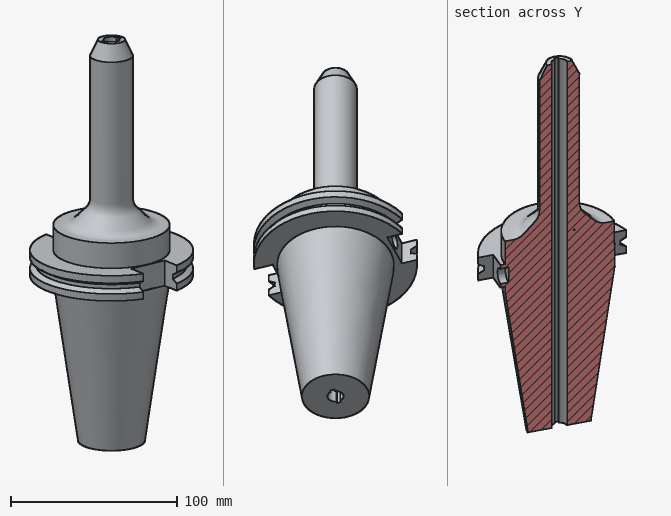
import cadquery as cq
import math

total_height = 254.0
gauge_height = 101.5
flange_bottom = 104.6
flange_top = 120.6
collar_top = 136.7
tip_start = 243.8

gauge_radius = 35.0
taper_ratio = 7 / 24
small_end_radius = gauge_radius - gauge_height * taper_ratio / 2
flange_diameter = 98.3
flange_radius = flange_diameter / 2
stem_radius = 13.0
tip_radius = 8.1

neck_fillet = 10.0
neck_cone = 6.9
neck_angle = math.radians(45)

groove_floor_radius = 45.5
groove_mouth = 6.9
groove_center = 112.5
groove_half_angle = math.radians(30)

slot_width = 25.5
slot_floor_left = 37.8
slot_floor_right = 35.5

dimple_diameter = 10.2
dimple_depth = 5.0

bore_radius = 4.8
keyway_width = 2.5
keyway_reach = 6.0


def make_body():
    """Revolve the taper, collar, neck and stem in one profile."""
    sine = math.sin(neck_angle)
    rise = neck_fillet * (1 - math.cos(neck_angle))
    run = neck_fillet * sine
    arc_middle_near = neck_fillet * (1 - math.cos(neck_angle / 2))
    arc_middle_far = neck_fillet * math.sin(neck_angle / 2)
    neck_radius = stem_radius + neck_fillet + neck_cone
    neck_top = collar_top + neck_fillet + neck_cone
    return (
        cq.Workplane("XZ")
        .lineTo(small_end_radius, 0)
        .lineTo(gauge_radius, gauge_height)
        .lineTo(gauge_radius, collar_top)
        .lineTo(neck_radius, collar_top)
        .threePointArc(
            (neck_radius - arc_middle_far, collar_top + arc_middle_near),
            (neck_radius - run, collar_top + rise),
        )
        .lineTo(stem_radius + rise, neck_top - run)
        .threePointArc(
            (stem_radius + arc_middle_near, neck_top - arc_middle_far),
            (stem_radius, neck_top),
        )
        .lineTo(stem_radius, tip_start)
        .lineTo(tip_radius, total_height)
        .lineTo(0, total_height)
        .close()
        .revolve(360, (0, 0, 0), (0, 1, 0))
    )


def make_flange():
    """Revolve the flange with its V groove."""
    half_mouth = groove_mouth / 2
    groove_depth = flange_radius - groove_floor_radius
    half_floor = half_mouth - groove_depth * math.tan(groove_half_angle)
    return (
        cq.Workplane("XZ")
        .moveTo(0, flange_bottom)
        .lineTo(flange_radius, flange_bottom)
        .lineTo(flange_radius, groove_center - half_mouth)
        .lineTo(groove_floor_radius, groove_center - half_floor)
        .lineTo(groove_floor_radius, groove_center + half_floor)
        .lineTo(flange_radius, groove_center + half_mouth)
        .lineTo(flange_radius, flange_top)
        .lineTo(0, flange_top)
        .close()
        .revolve(360, (0, 0, 0), (0, 1, 0))
    )


def make_drive_slot(side, floor):
    """Block that cuts one drive slot; side is -1 for -X and +1 for +X."""
    depth = flange_radius - floor
    height = flange_top - flange_bottom
    center = (side * (floor + depth / 2), 0, flange_bottom + height / 2)
    return cq.Workplane("XY").box(depth, slot_width, height).translate(center)


def make_dimple():
    """Round hole running inward from the left slot floor at flange mid height."""
    middle = (flange_bottom + flange_top) / 2
    return (
        cq.Workplane("YZ", origin=(-slot_floor_left, 0, middle))
        .circle(dimple_diameter / 2)
        .extrude(dimple_depth)
    )


def make_bore():
    """Bore and opposed keyways through the whole length."""
    bore = cq.Workplane("XY").circle(bore_radius).extrude(total_height)
    keyways = cq.Workplane("XY").rect(keyway_width, 2 * keyway_reach).extrude(total_height)
    return bore.union(keyways)


result = make_body().union(make_flange())
result = result.cut(make_drive_slot(-1, slot_floor_left))
result = result.cut(make_drive_slot(1, slot_floor_right))
result = result.cut(make_dimple())
result = result.cut(make_bore())